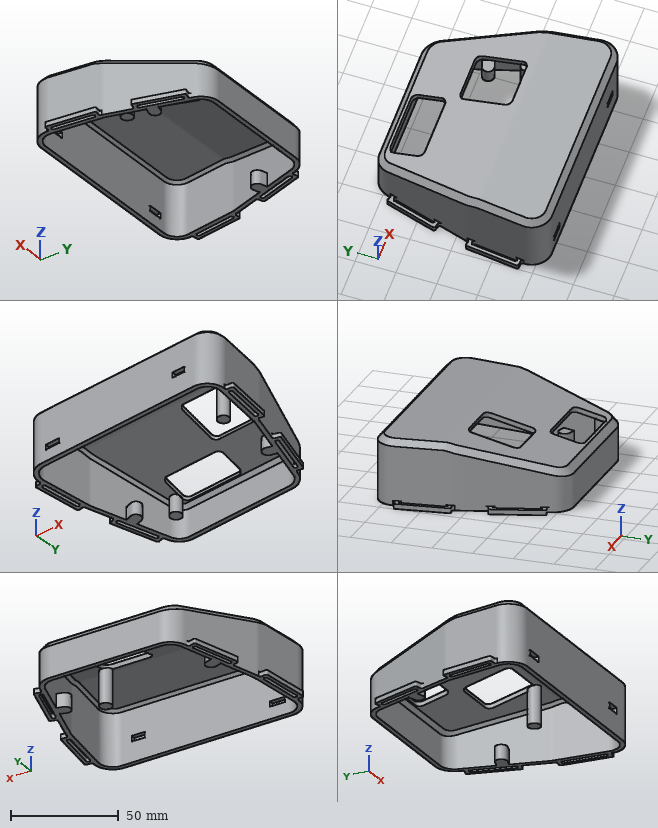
import math

import cadquery as cq

front_y = -45.0
kink_y = -5.0
back_y = 45.0
front_half_width = 57.5
kink_half_width = 52.5
back_half_width = 37.5
corner_radius = 10.0

height = 32.5
back_height = 20.0
crease_y = -10.0
crease_radius = 10.0
roof_chamfer = 3.0
slope_angle = math.atan2(height - back_height, back_y - crease_y)

wall = 2.5

windows = [
    (-12.9, 43.2, 35.0, 17.2),
    (18.7, 16.2, 26.0, 26.0),
]
window_radius = 3.0

front_slots = [
    (-39.4, 8.1, 8.2, 2.8),
    (37.0, 12.7, 7.1, 3.0),
]

loop_length = 27.0
loop_reach = 4.0
loop_bar = 2.0
loop_thickness = 2.5
loop_radius = 0.75
loop_opening_radius = 0.9
loop_root_radius = 1.0
loop_root_margin = 0.1
loop_root_length = loop_length + 2 * (loop_root_radius + loop_root_margin)
front_loop_y = -20.05
back_loop_y = 22.5

post_radius = 3.2
post_bottom = 10.0
post_places = [(31.7, -6.3), (-33.25, 36.4)]

tab_width = 6.0
tab_height = 7.5
tab_end_x = 40.0
tab_end_y = 15.7


def housing_block():
    """Solid outer shape: plan outline under the rounded roof line, with the roof rim chamfered."""
    right_side = [
        (front_half_width, front_y),
        (kink_half_width, kink_y),
        (back_half_width, back_y),
    ]
    left_side = [(-x, y) for x, y in reversed(right_side)]
    block = cq.Workplane("XY").polyline(right_side + left_side).close().extrude(height)
    block = block.edges("|Z").fillet(corner_radius)

    roof_line = [(front_y, 0), (front_y, height), (crease_y, height), (back_y, back_height), (back_y, 0)]
    under_roof = cq.Workplane("YZ").polyline(roof_line).close().extrude(front_half_width, both=True)
    crease = cq.selectors.NearestToPointSelector((0, crease_y, height))
    under_roof = under_roof.edges(crease).fillet(crease_radius)
    block = block.intersect(under_roof)

    def on_rim(edge):
        middle = edge.Center()
        is_crease = abs(middle.x) < wall and abs(middle.y - crease_y) < crease_radius
        return not is_crease

    rim = block.edges("not(|Z or <Z)").filter(on_rim)
    return rim.chamfer(roof_chamfer)


def cut_windows(body):
    """Cut rounded windows square to the sloped roof, through the roof only."""
    roof_normal = (0, math.sin(slope_angle), math.cos(slope_angle))
    roof_plane = cq.Plane(origin=(0, crease_y, height), xDir=(1, 0, 0), normal=roof_normal)
    for x, along, width, length in windows:
        sketch = cq.Sketch().rect(width, length).vertices().fillet(window_radius)
        body = body.cut(cq.Workplane(roof_plane).center(x, along).placeSketch(sketch).extrude(-wall))
    return body


def cut_front_slots(body):
    """Cut the rectangular slots through the front wall."""
    for x, z, width, slot_height in front_slots:
        cutter = cq.Workplane("XY").box(width, 2 * wall, slot_height)
        body = body.cut(cutter.translate((x, front_y + wall / 2, z)))
    return body


def side_wall_slope(end_half_width, end_y):
    """Change of x with y along the right side wall, from the kink to its other end."""
    return (end_half_width - kink_half_width) / (end_y - kink_y)


def wall_facing_plane(x, y, slope):
    """Horizontal plane at z = 0 whose local x points squarely out of a right side wall."""
    return cq.Plane(origin=(x, y, 0), xDir=(1, -slope, 0), normal=(0, 0, 1))


def strap_loop(mid_y, slope):
    """Flat loop standing off a right side wall, flared where it meets the wall."""
    mid_x = kink_half_width + slope * (mid_y - kink_y)
    plane = wall_facing_plane(mid_x, mid_y, slope)

    plate = (
        cq.Workplane(plane)
        .center(loop_reach / 2, 0)
        .rect(loop_reach, loop_length)
        .extrude(loop_thickness)
        .faces(cq.selectors.DirectionMinMaxSelector(plane.xDir))
        .edges("|Z")
        .fillet(loop_radius)
    )
    root_depth = wall / 2
    root = (
        cq.Workplane(plane)
        .center(-root_depth / 2, 0)
        .rect(root_depth, loop_root_length)
        .extrude(loop_thickness)
    )
    plate = plate.union(root)
    for side in (-1, 1):
        corner_middle = plane.toWorldCoords((0, side * loop_length / 2, loop_thickness / 2))
        corner = cq.selectors.NearestToPointSelector(corner_middle.toTuple())
        plate = plate.edges(corner).fillet(loop_root_radius)
    opening_width = loop_reach - loop_bar
    opening = (
        cq.Workplane(plane)
        .center(opening_width / 2, 0)
        .rect(opening_width, loop_length - 2 * loop_bar)
        .extrude(loop_thickness)
        .edges("|Z")
        .fillet(loop_opening_radius)
    )
    return plate.cut(opening)


def roof_post(place):
    """Round post, long enough to reach through the roof."""
    return cq.Workplane("XY", origin=(*place, post_bottom)).circle(post_radius).extrude(height - post_bottom)


def wall_tab(slope):
    """Round-ended tab standing inside the back right wall, square to it."""
    plane = wall_facing_plane(tab_end_x, tab_end_y, slope)
    round_end = cq.Workplane(plane).circle(tab_width / 2).extrude(tab_height)
    stem = cq.Workplane(plane).center(tab_width / 2, 0).rect(tab_width, tab_width).extrude(tab_height)
    return round_end.union(stem)


block = housing_block()
result = block.faces("<Z").shell(-wall)
for place in post_places:
    result = result.union(roof_post(place).intersect(block))
result = cut_windows(result)
result = cut_front_slots(result)

front_slope = side_wall_slope(front_half_width, front_y)
back_slope = side_wall_slope(back_half_width, back_y)
front_loop = strap_loop(front_loop_y, front_slope)
back_loop = strap_loop(back_loop_y, back_slope)
tab = wall_tab(back_slope).intersect(block)
for fitting in (front_loop, back_loop, tab):
    result = result.union(fitting).union(fitting.mirror("YZ"))